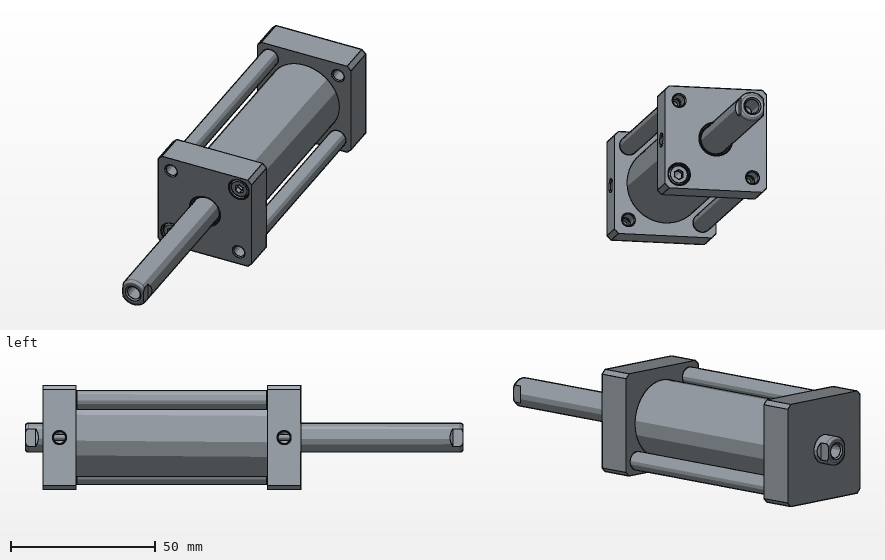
import cadquery as cq
import math

head_width = 36.0
head_depth = 11.5
head_corner_chamfer = 1.5
tube_length = 66.0
rod_front_reach = 56.0
rod_rear_reach = 6.0
rear_head_front = head_depth + tube_length
rod_front_end = -rod_front_reach
rod_rear_end = rear_head_front + head_depth + rod_rear_reach

tube_diameter = 27.0
bore_diameter = 25.0

corner_offset = 13.0
spacer_diameter = 6.5
spacer_end_chamfer = 0.3

tapped_diameter = 4.13
tapped_mouth_diameter = 4.9
drill_tip_angle = 118.0
mounting_tap_depth = 6.0
pilot_diameter = 3.24
pilot_depth = 9.0

port_depth = 9.0
port_bar_diameter = 2.0
port_bar_inset = 4.0

counterbore_diameter = 7.5
counterbore_mouth_diameter = 8.0
counterbore_depth = 4.4
screw_head_diameter = 7.0
screw_head_height = 4.0
screw_head_chamfer = 0.5
screw_head_top = counterbore_depth - screw_head_height
hex_socket_flats = 3.0
hex_socket_depth = 2.0

rod_diameter = 10.0
rod_end_fillet = 1.0
rod_flats_width = 8.0
rod_flat_length = 3.5
rod_flat_depth = (rod_diameter - rod_flats_width) / 2
rod_tap_diameter = 4.92
rod_tap_mouth_diameter = 6.0
rod_tap_depth = 12.0

rod_recess_diameter = 11.4
rod_recess_mouth_diameter = 12.0
rod_recess_depth = 0.8
rod_bore_mouth_diameter = 10.48


def cylinder(diameter, start, end, x=0, z=0):
    """Solid cylinder along Y between two Y positions."""
    base = cq.Vector(x, start, z)
    return cq.Workplane(cq.Solid.makeCylinder(diameter / 2, end - start, base, cq.Vector(0, 1, 0)))


def cone(start_diameter, end_diameter, length, x=0, y=0, z=0):
    """Solid cone along +Y, starting at the given point."""
    base = cq.Vector(x, y, z)
    axis = cq.Vector(0, 1, 0)
    return cq.Workplane(cq.Solid.makeCone(start_diameter / 2, end_diameter / 2, length, base, axis))


def tip_length(diameter):
    """Length of the cone that a drill leaves at the bottom of a hole."""
    return diameter / 2 / math.tan(math.radians(drill_tip_angle / 2))


def drilled_hole(diameter, depth):
    """Cutter for a blind hole from the origin along +Y, with a conical tip."""
    return cylinder(diameter, 0, depth).union(cone(diameter, 0, tip_length(diameter), y=depth))


def countersink(mouth_diameter, diameter):
    """Cutter for a 45 degree mouth at the origin, narrowing along +Y."""
    return cone(mouth_diameter, diameter, (mouth_diameter - diameter) / 2)


def diagonal_corners(slope):
    """Two opposite corners (x, z), on the rising (+1) or falling (-1) diagonal."""
    return [(side * corner_offset, slope * side * corner_offset) for side in (-1, 1)]


rising_corners = diagonal_corners(1)
falling_corners = diagonal_corners(-1)


def mounting_hole():
    """Cutter for a threaded hole that continues as a narrower pilot hole."""
    return (
        cylinder(tapped_diameter, 0, mounting_tap_depth)
        .union(countersink(tapped_mouth_diameter, tapped_diameter))
        .union(drilled_hole(pilot_diameter, pilot_depth))
    )


def air_port():
    """Cutter for the air port, from the -X side at Y = 0, leaving the bar across it."""
    port = (
        drilled_hole(tapped_diameter, port_depth)
        .union(countersink(tapped_mouth_diameter, tapped_diameter))
        .rotate((0, 0, 0), (0, 0, 1), -90)
        .translate((-head_width / 2, 0, 0))
    )
    bar_reach = tapped_mouth_diameter / 2
    bar = cylinder(port_bar_diameter, -bar_reach, bar_reach, x=-head_width / 2 + port_bar_inset)
    return port.cut(bar)


def head_block(tapped_corners):
    """Square head with its front face at Y = 0: rod bore, air port and two mounting holes."""
    head = (
        cq.Workplane("XY")
        .box(head_width, head_depth, head_width, centered=(True, False, True))
        .edges("|Y")
        .chamfer(head_corner_chamfer)
        .cut(cylinder(rod_diameter, 0, head_depth))
        .cut(air_port().translate((0, head_depth / 2, 0)))
    )
    for x, z in tapped_corners:
        head = head.cut(mounting_hole().translate((x, 0, z)))
    return head


def rod_recess():
    """Cutter for the stepped recess around the rod."""
    lead_in = countersink(rod_bore_mouth_diameter, rod_diameter).translate((0, rod_recess_depth, 0))
    return (
        cylinder(rod_recess_diameter, 0, rod_recess_depth)
        .union(countersink(rod_recess_mouth_diameter, rod_recess_diameter))
        .union(lead_in)
    )


def screw_recess():
    """Cutter that leaves a socket screw head standing in a counterbore."""
    socket_corners = hex_socket_flats / math.cos(math.pi / 6)
    socket_bottom = screw_head_top + hex_socket_depth
    screw_head = (
        cylinder(screw_head_diameter, screw_head_top, counterbore_depth)
        .faces("<Y")
        .chamfer(screw_head_chamfer)
    )
    socket = (
        cq.Workplane("XZ", origin=(0, screw_head_top, 0))
        .polygon(6, socket_corners)
        .extrude(-hex_socket_depth)
        .rotate((0, 0, 0), (0, 1, 0), 30)
    )
    socket_tip = cone(hex_socket_flats, 0, tip_length(hex_socket_flats), y=socket_bottom)
    return (
        cylinder(counterbore_diameter, 0, counterbore_depth)
        .union(countersink(counterbore_mouth_diameter, counterbore_diameter))
        .cut(screw_head)
        .union(socket)
        .union(socket_tip)
    )


def make_front_head():
    head = head_block(falling_corners).cut(rod_recess())
    for x, z in rising_corners:
        head = head.cut(screw_recess().translate((x, 0, z)))
    return head


def make_rear_head():
    return head_block(rising_corners).translate((0, rear_head_front, 0))


def make_tube():
    outside = cylinder(tube_diameter, head_depth, rear_head_front)
    return outside.cut(cylinder(bore_diameter, head_depth, rear_head_front))


def make_spacer(x, z):
    bar = cylinder(spacer_diameter, head_depth, rear_head_front, x, z)
    return bar.faces("<Y or >Y").chamfer(spacer_end_chamfer)


def wrench_flat():
    """Cutter for a flat on the +X side of a rod end at Y = 0, with a sloped run-out."""
    inner_x = rod_flats_width / 2
    outer_x = rod_diameter / 2
    return (
        cq.Workplane("XY")
        .moveTo(inner_x, 0)
        .lineTo(inner_x, rod_flat_length)
        .lineTo(outer_x, rod_flat_length + rod_flat_depth)
        .lineTo(outer_x, 0)
        .close()
        .extrude(rod_diameter / 2, both=True)
    )


def rod_end_cut():
    """Cutter for the tapped hole and the two wrench flats of a rod end at Y = 0."""
    return (
        drilled_hole(rod_tap_diameter, rod_tap_depth)
        .union(countersink(rod_tap_mouth_diameter, rod_tap_diameter))
        .union(wrench_flat())
        .union(wrench_flat().mirror("YZ"))
    )


def make_rod():
    bar = cylinder(rod_diameter, rod_front_end, rod_rear_end)
    bar = bar.faces("<Y or >Y").edges().fillet(rod_end_fillet)
    front_cut = rod_end_cut().translate((0, rod_front_end, 0))
    rear_cut = rod_end_cut().mirror("XZ").translate((0, rod_rear_end, 0))
    return bar.cut(front_cut).cut(rear_cut)


front_head = make_front_head()
rear_head = make_rear_head()
tube = make_tube()
spacers = [make_spacer(x, z) for x, z in falling_corners]
rod = make_rod()

result = cq.Compound.makeCompound(
    [front_head.val(), rear_head.val(), tube.val(), rod.val(), *[spacer.val() for spacer in spacers]]
)